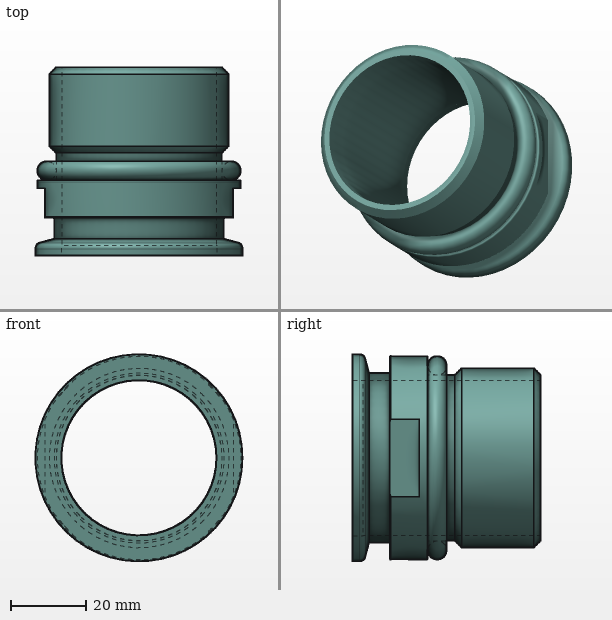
import cadquery as cq
import math


flange_radius = 27.5
total_length = 50.0

bore_radius = 20.5
mouth_radius = 20.6
mouth_depth = 2.75

flange_rim_width = 1.85
flange_back = 4.45
flange_taper_angle = math.radians(15)
neck_radius = 22.55

collar_front = 10.0
collar_back = 20.0
collar_radius = 27.0
neck_fillet = 0.3
collar_front_fillet = 0.2
collar_back_fillet = 0.4
flat_distance = 24.95
flat_end = 17.8

seat_radius = 22.0
ring_section_radius = (collar_radius - seat_radius) / 2

plug_radius = 23.8
seat_chamfer = 1.8
seat_end = 27.2
end_chamfer = 1.85

ARC_MIDDLE_RATIO = 1 - math.sqrt(0.5)


def flange_rim_curve():
    """Return the rim arc's midpoint and end, tangent to the rim and the taper."""
    rim_corner_y = flange_back - (flange_radius - neck_radius) * math.tan(flange_taper_angle)
    turn = math.pi / 2 - flange_taper_angle
    arc_radius = (rim_corner_y - flange_rim_width) / math.tan(turn / 2)
    center_x = flange_radius - arc_radius

    def arc_point(angle):
        x = center_x + arc_radius * math.cos(angle)
        y = flange_rim_width + arc_radius * math.sin(angle)
        return (x, y)

    return arc_point(turn / 2), arc_point(turn)


def revolve_about_y(profile):
    return profile.revolve(360, (0, 0, 0), (0, 1, 0))


def make_sleeve_blank():
    rim_middle, rim_end = flange_rim_curve()
    neck_fillet_middle = neck_fillet * ARC_MIDDLE_RATIO
    front_fillet_middle = collar_front_fillet * ARC_MIDDLE_RATIO
    back_fillet_middle = collar_back_fillet * ARC_MIDDLE_RATIO
    profile = (
        cq.Workplane("XY")
        .moveTo(mouth_radius, 0)
        .lineTo(flange_radius, 0)
        .lineTo(flange_radius, flange_rim_width)
        .threePointArc(rim_middle, rim_end)
        .lineTo(neck_radius, flange_back)
        .lineTo(neck_radius, collar_front - neck_fillet)
        .threePointArc(
            (neck_radius + neck_fillet_middle, collar_front - neck_fillet_middle),
            (neck_radius + neck_fillet, collar_front),
        )
        .lineTo(collar_radius - collar_front_fillet, collar_front)
        .threePointArc(
            (collar_radius - front_fillet_middle, collar_front + front_fillet_middle),
            (collar_radius, collar_front + collar_front_fillet),
        )
        .lineTo(collar_radius, collar_back - collar_back_fillet)
        .threePointArc(
            (collar_radius - back_fillet_middle, collar_back - back_fillet_middle),
            (collar_radius - collar_back_fillet, collar_back),
        )
        .lineTo(seat_radius, collar_back)
        .lineTo(seat_radius, seat_end)
        .lineTo(plug_radius, seat_end + seat_chamfer)
        .lineTo(plug_radius, total_length - end_chamfer)
        .lineTo(plug_radius - end_chamfer, total_length)
        .lineTo(bore_radius, total_length)
        .lineTo(bore_radius, mouth_depth)
        .lineTo(mouth_radius, mouth_depth)
        .close()
    )
    return revolve_about_y(profile)


def cut_wrench_flats(sleeve):
    cut_depth = flange_radius - flat_distance
    for side in (-1, 1):
        cutter = cq.Workplane("XY").box(
            cut_depth, flat_end - collar_front, 2 * collar_radius
        ).translate((side * (flat_distance + cut_depth / 2), (collar_front + flat_end) / 2, 0))
        sleeve = sleeve.cut(cutter)
    return sleeve


def make_sealing_ring():
    profile = (
        cq.Workplane("XY")
        .moveTo(seat_radius + ring_section_radius, collar_back + ring_section_radius)
        .circle(ring_section_radius)
    )
    return revolve_about_y(profile)


sleeve = cut_wrench_flats(make_sleeve_blank())
sealing_ring = make_sealing_ring()

result = cq.Compound.makeCompound([sleeve.val(), sealing_ring.val()])